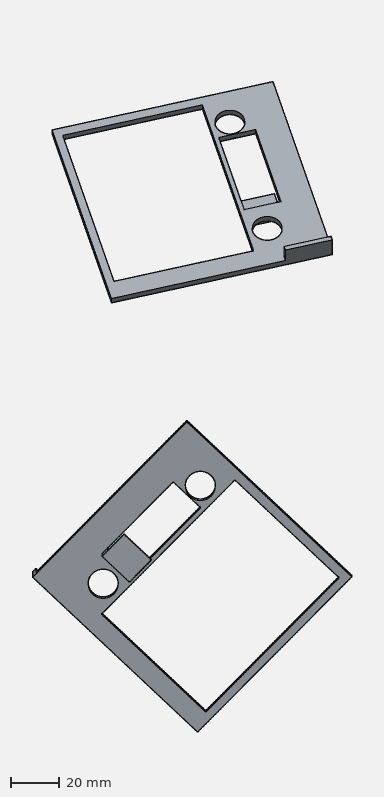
import cadquery as cq

PLATE_WIDTH = 92.0
PLATE_DEPTH = 95.0
PLATE_THICKNESS = 3.0

WINDOW_WIDTH = 79.5
WINDOW_DEPTH = 60.0
WINDOW_LEFT = 4.0
WINDOW_FRONT = 3.5

SLOT_WIDTH = 39.3
SLOT_DEPTH = 15.8
SLOT_LEFT = 22.35
SLOT_FRONT = 65.5
SLOT_RIGHT = SLOT_LEFT + SLOT_WIDTH

HOLE_DIAMETER = 12.41
HOLE_CENTERS_X = (15.75, 73.7)
HOLE_CENTER_Y = 72.05

TAB_THICKNESS = 2.0
TAB_LENGTH = 20.2
TAB_HEIGHT = 7.0

HOOK_DROP = 5.0
HOOK_STEM_THICKNESS = 3.1
HOOK_LIP_LENGTH = 10.0
HOOK_LIP_THICKNESS = 1.0


def block(left, front, bottom, width, depth, height):
    """Box placed by its left, front and bottom faces."""
    return cq.Workplane("XY").box(width, depth, height, centered=False).translate((left, front, bottom))


def make_plate():
    """Flat plate with the window, the slot and the two round holes cut through."""
    plate = block(0, 0, 0, PLATE_WIDTH, PLATE_DEPTH, PLATE_THICKNESS)
    window = block(WINDOW_LEFT, WINDOW_FRONT, 0, WINDOW_WIDTH, WINDOW_DEPTH, PLATE_THICKNESS)
    slot = block(SLOT_LEFT, SLOT_FRONT, 0, SLOT_WIDTH, SLOT_DEPTH, PLATE_THICKNESS)
    hole_centers = [(x, HOLE_CENTER_Y) for x in HOLE_CENTERS_X]
    holes = (
        cq.Workplane("XY")
        .pushPoints(hole_centers)
        .circle(HOLE_DIAMETER / 2)
        .extrude(PLATE_THICKNESS)
    )
    return plate.cut(window).cut(slot).cut(holes)


def make_tab():
    """Upright wall flush with the right and back edges of the plate."""
    return block(
        PLATE_WIDTH - TAB_THICKNESS,
        PLATE_DEPTH - TAB_LENGTH,
        PLATE_THICKNESS,
        TAB_THICKNESS,
        TAB_LENGTH,
        TAB_HEIGHT,
    )


def make_hook():
    """Stem flush with the slot's right wall, with a thin lip reaching left under the slot."""
    stem = block(SLOT_RIGHT, SLOT_FRONT, -HOOK_DROP, HOOK_STEM_THICKNESS, SLOT_DEPTH, HOOK_DROP)
    lip_left = SLOT_RIGHT - HOOK_LIP_LENGTH
    lip = block(lip_left, SLOT_FRONT, -HOOK_DROP, HOOK_LIP_LENGTH, SLOT_DEPTH, HOOK_LIP_THICKNESS)
    return stem.union(lip)


result = make_plate().union(make_tab()).union(make_hook())